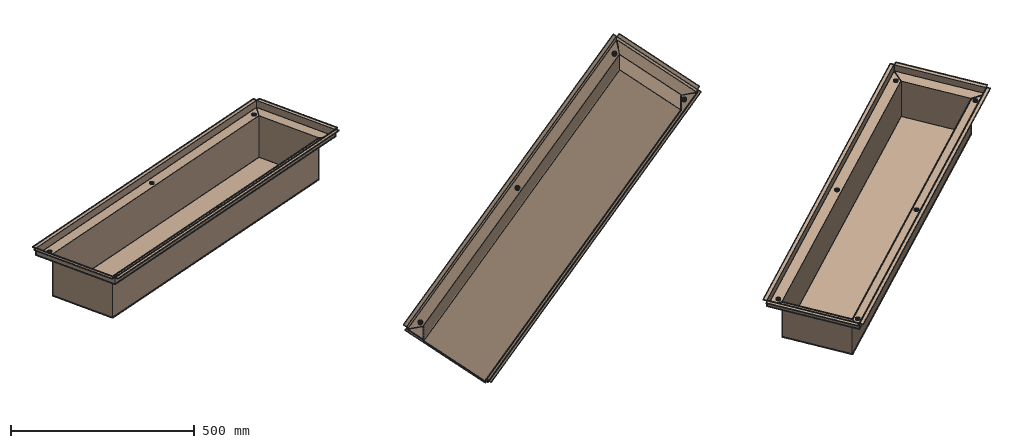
import cadquery as cq
overall_length = 1028.0
overall_width = 290.0
overall_height = 155.0
sheet = 2.0

bend_radius = 2.0
rim_bend_radius = 3.0

lip = 10.0
rim_length = overall_length - 2 * lip
rim_width = overall_width - 2 * lip
rim_height = 25.0
rim_inner_length = rim_length - 2 * sheet
rim_inner_width = rim_width - 2 * sheet

box_length = 944.0
box_width = 206.0
box_inner_length = box_length - 2 * sheet
box_inner_width = box_width - 2 * sheet
ledge_bottom = overall_height - rim_height
ledge_top = ledge_bottom + sheet

slit_width = 0.5

sleeve_diameter = 10.0
sleeve_bore = 5.0
head_diameter = 13.0
head_thickness = 1.0
sleeve_drop = 7.0
sleeve_x = 115.0
sleeve_y = 466.0
sleeve_places = [(x, y) for x in (-sleeve_x, sleeve_x) for y in (-sleeve_y, 0, sleeve_y)]

pick_margin = 0.1


def block(width, length, bottom, top):
    """Block centred on the Z axis, from one height to another."""
    return cq.Workplane("XY").workplane(offset=bottom).rect(width, length).extrude(top - bottom)


def round_mouth(body, width, length, height):
    """Round the edges of a rectangular opening at one height."""
    x = width / 2 + pick_margin
    y = length / 2 + pick_margin
    low_corner = (-x, -y, height - pick_margin)
    high_corner = (x, y, height + pick_margin)
    mouth = cq.selectors.BoxSelector(low_corner, high_corner, boundingbox=True)
    return body.edges(mouth).fillet(bend_radius)


def mitre_slits():
    """Thin cuts through the ledge, from each box corner to the facing rim corner."""
    inner_x = box_inner_width / 2
    inner_y = box_inner_length / 2
    outer_x = rim_inner_width / 2
    outer_y = rim_inner_length / 2
    slits = cq.Workplane("XY")
    for side_x in (-1, 1):
        for side_y in (-1, 1):
            slits = slits.add(
                cq.Workplane("XY").workplane(offset=ledge_bottom)
                .moveTo(side_x * inner_x, side_y * inner_y)
                .lineTo(side_x * outer_x, side_y * (outer_y - slit_width))
                .lineTo(side_x * outer_x, side_y * outer_y)
                .lineTo(side_x * (outer_x - slit_width), side_y * outer_y)
                .close().extrude(sheet)
            )
    return slits.combine()


def make_tray():
    box = block(box_width, box_length, 0, overall_height).edges("|Z or <Z").fillet(bend_radius)
    rim = block(rim_width, rim_length, ledge_bottom, overall_height).edges("<Z").fillet(rim_bend_radius)
    lip_bottom = overall_height - sheet
    side_lips = block(overall_width, rim_length, lip_bottom, overall_height)
    end_lips = block(rim_inner_width, overall_length, lip_bottom, overall_height)
    box_hollow = block(box_inner_width, box_inner_length, sheet, overall_height)
    rim_hollow = block(rim_inner_width, rim_inner_length, ledge_top, overall_height)
    tray = box.union(rim).union(side_lips).union(end_lips).cut(box_hollow).cut(rim_hollow)
    tray = round_mouth(tray, rim_inner_width, rim_inner_length, overall_height)
    tray = round_mouth(tray, box_inner_width, box_inner_length, ledge_top)
    sleeve_holes = (
        cq.Workplane("XY").workplane(offset=ledge_bottom)
        .pushPoints(sleeve_places).circle(sleeve_diameter / 2).extrude(sheet)
    )
    return tray.cut(sleeve_holes).cut(mitre_slits())


def make_sleeve(x, y):
    shank_length = sleeve_drop + sheet
    return (
        cq.Workplane("XY").workplane(offset=ledge_bottom - sleeve_drop).center(x, y)
        .circle(sleeve_diameter / 2).extrude(shank_length)
        .faces(">Z").workplane().circle(head_diameter / 2).extrude(head_thickness)
        .faces(">Z").workplane().hole(sleeve_bore)
    )


tray = make_tray()
sleeves = [make_sleeve(x, y) for x, y in sleeve_places]

result = cq.Compound.makeCompound([tray.val(), *[sleeve.val() for sleeve in sleeves]])